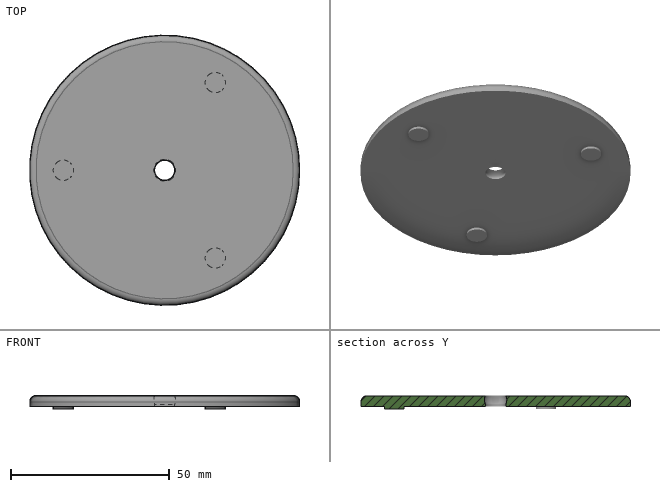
import cadquery as cq
import math

disc_diameter = 85.0
total_height = 4.25
foot_height = 0.8
disc_thickness = total_height - foot_height
edge_radius = 2.0

hole_diameter = 6.3
socket_diameter = 6.9

foot_count = 3
foot_diameter = 6.4
foot_circle_radius = 31.9
first_foot_angle = 180


def make_disc():
    """Flat disc with a rounded upper rim and its underside at Z = 0."""
    disc = cq.Workplane("XY").circle(disc_diameter / 2).extrude(disc_thickness)
    return disc.faces(">Z").edges().fillet(edge_radius)


def make_feet():
    """Short round feet, evenly spaced, hanging below the disc."""
    return (
        cq.Workplane("XY")
        .polarArray(foot_circle_radius, first_foot_angle, 360, foot_count)
        .circle(foot_diameter / 2)
        .extrude(-foot_height)
    )


def make_hole_cutter():
    """Straight bore joined to a sphere that meets the top face at the bore diameter."""
    hole_radius = hole_diameter / 2
    socket_radius = socket_diameter / 2
    socket_half_height = math.sqrt(socket_radius**2 - hole_radius**2)
    socket_top = disc_thickness
    socket_middle = socket_top - socket_half_height
    socket_bottom = socket_middle - socket_half_height
    return (
        cq.Workplane("XZ")
        .lineTo(hole_radius, 0)
        .lineTo(hole_radius, socket_bottom)
        .threePointArc((socket_radius, socket_middle), (hole_radius, socket_top))
        .lineTo(0, socket_top)
        .close()
        .revolve(360, (0, 0), (0, 1))
    )


result = make_disc().union(make_feet()).cut(make_hole_cutter())